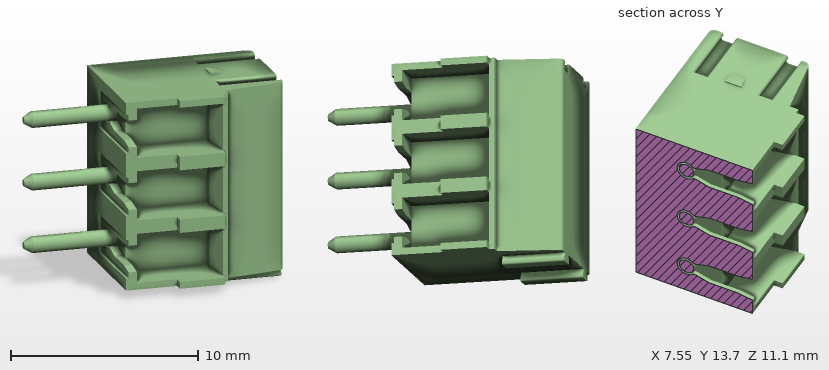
import cadquery as cq
import math


POLE_COUNT = 3
POLE_PITCH = 3.5
PIN_X = 3.05

BODY_WIDTH = 7.03
BODY_DEPTH = 9.15
BODY_HEIGHT = POLE_COUNT * POLE_PITCH
RAIL_LENGTH = 3.45
SHOULDER_Y = BODY_DEPTH - RAIL_LENGTH
SHOULDER_X = 6.5
REAR_X = 5.92
REAR_CORNER_RADIUS = 0.3

WALL_THICKNESS = 0.75
TAB_LENGTH = 0.52
TAB_FRONT_Y = 2.85
TAB_REAR_Y = 5.4

PIN_DIAMETER = 0.9
PIN_TIP_DIAMETER = 0.37
PIN_LENGTH = 4.5
PIN_TIP_LENGTH = 0.45

POCKET_X = 2.03
POCKET_HALF_HEIGHT = 1.08
POCKET_DEPTH = 0.15

KEYHOLE_DEPTH = 0.45
KEYHOLE_FLOOR_Y = POCKET_DEPTH + KEYHOLE_DEPTH
KEYHOLE_DIAMETER = 1.1
NECK_HALF_HEIGHT = 0.37
SLOT_HALF_HEIGHT = 0.6
MOUTH_HALF_HEIGHT = 0.75
NECK_END_X = 3.6
SLOT_START_X = 4.4
FLARE_START_X = 6.15

CAVITY_X = 5.03
CAVITY_FLAT_END_X = 5.66
CAVITY_FLAT_Y = 5.1
CAVITY_FILLET = 0.25
CAVITY_HEIGHT = POLE_PITCH - WALL_THICKNESS

RAIL_CENTRES_X = (1.11, 5.0)
RAIL_HEIGHT = 0.5
RAIL_ROOT_HALF_WIDTH = 0.33
RAIL_HALF_WIDTH = 0.475
RAIL_SLOPE_HEIGHT = 0.3
RAIL_EDGE_RADIUS = 0.1
GROOVE_DEPTH = 0.55
GROOVE_LIP_HALF_WIDTH = 0.535
GROOVE_LIP_RADIUS = 0.15
GROOVE_MOUTH_HALF_WIDTH = GROOVE_LIP_HALF_WIDTH - GROOVE_LIP_RADIUS
GROOVE_FLANK_ANGLE = math.radians(30)
GROOVE_FLANK_HALF_WIDTH = 0.5

DETENT_HEIGHT = 0.08
DETENT_FRONT_Y = 5.78
DETENT_RAMP_Y = 6.1
DETENT_REAR_Y = 6.58
DETENT_FRONT_WIDTH = 1.0
DETENT_REAR_WIDTH = 0.72


def box(x0, x1, y0, y1, z0, z1):
    return cq.Workplane("XY").box(x1 - x0, y1 - y0, z1 - z0, centered=False).translate((x0, y0, z0))


def extrude_y(sketch_points, y0, y1):
    """Extrude a closed X-Z polygon from y0 to y1."""
    return cq.Workplane("XZ", origin=(0, y0, 0)).polyline(sketch_points).close().extrude(y0 - y1)


def make_body():
    outline = [
        (0, 0),
        (BODY_WIDTH, 0),
        (BODY_WIDTH, SHOULDER_Y),
        (SHOULDER_X, SHOULDER_Y),
        (REAR_X, BODY_DEPTH),
        (0, BODY_DEPTH),
    ]
    body = cq.Workplane("XY").polyline(outline).close().extrude(BODY_HEIGHT)
    return body.edges("|Z and >Y").fillet(REAR_CORNER_RADIUS)


def make_tabs():
    tabs = cq.Workplane("XY")
    for wall in range(POLE_COUNT + 1):
        z = wall * POLE_PITCH
        z_low = max(z - WALL_THICKNESS / 2, 0)
        z_high = min(z + WALL_THICKNESS / 2, BODY_HEIGHT)
        tabs = tabs.add(box(SHOULDER_X, BODY_WIDTH + TAB_LENGTH, TAB_FRONT_Y, TAB_REAR_Y, z_low, z_high))
    return tabs.combine()


def make_pin(z):
    radius = PIN_DIAMETER / 2
    half_profile = [
        (0, KEYHOLE_FLOOR_Y),
        (radius, KEYHOLE_FLOOR_Y),
        (radius, PIN_TIP_LENGTH - PIN_LENGTH),
        (PIN_TIP_DIAMETER / 2, -PIN_LENGTH),
        (0, -PIN_LENGTH),
    ]
    pin = cq.Workplane("XY").polyline(half_profile).close().revolve(360, (0, 0), (0, 1))
    return pin.translate((PIN_X, 0, z))


def make_keyhole(z):
    upper_edge = [
        (PIN_X, NECK_HALF_HEIGHT),
        (NECK_END_X, NECK_HALF_HEIGHT),
        (SLOT_START_X, SLOT_HALF_HEIGHT),
        (FLARE_START_X, SLOT_HALF_HEIGHT),
        (BODY_WIDTH, MOUTH_HALF_HEIGHT),
    ]
    lower_edge = [(x, -half_height) for x, half_height in reversed(upper_edge)]
    slot = extrude_y(upper_edge + lower_edge, POCKET_DEPTH, KEYHOLE_FLOOR_Y)
    hole = (
        cq.Workplane("XZ", origin=(PIN_X, POCKET_DEPTH, 0))
        .circle(KEYHOLE_DIAMETER / 2)
        .extrude(-KEYHOLE_DEPTH)
    )
    return slot.union(hole).translate((0, 0, z))


def make_cavity(z):
    outline = [
        (CAVITY_X, KEYHOLE_FLOOR_Y),
        (BODY_WIDTH, KEYHOLE_FLOOR_Y),
        (BODY_WIDTH, TAB_REAR_Y),
        (CAVITY_FLAT_END_X, CAVITY_FLAT_Y),
        (CAVITY_X, CAVITY_FLAT_Y),
    ]
    cavity = cq.Workplane("XY").polyline(outline).close().extrude(CAVITY_HEIGHT)
    inner_corner = cq.selectors.NearestToPointSelector((CAVITY_X, CAVITY_FLAT_Y, CAVITY_HEIGHT / 2))
    cavity = cavity.edges("|Z").edges(inner_corner).fillet(CAVITY_FILLET)
    return cavity.translate((0, 0, z - CAVITY_HEIGHT / 2))


def make_pole_cut(z):
    pocket = box(
        POCKET_X, BODY_WIDTH, 0, POCKET_DEPTH, z - POCKET_HALF_HEIGHT, z + POCKET_HALF_HEIGHT
    )
    return pocket.union(make_keyhole(z)).union(make_cavity(z))


def make_rail(x):
    right_edge = [
        (RAIL_ROOT_HALF_WIDTH, 0),
        (RAIL_HALF_WIDTH, -RAIL_SLOPE_HEIGHT),
        (RAIL_HALF_WIDTH, -RAIL_HEIGHT),
    ]
    left_edge = [(-half_width, z) for half_width, z in reversed(right_edge)]
    rail = extrude_y(right_edge + left_edge, SHOULDER_Y, BODY_DEPTH)
    return rail.edges("|Y and <Z").fillet(RAIL_EDGE_RADIUS).translate((x, 0, 0))


def make_groove(x):
    """Undercut groove with rounded lips and rounded lower corners."""
    diagonal = math.sqrt(0.5)
    lip_mid = (
        GROOVE_LIP_HALF_WIDTH - GROOVE_LIP_RADIUS * diagonal,
        -GROOVE_LIP_RADIUS * (1 - diagonal),
    )
    lip_end = (
        GROOVE_LIP_HALF_WIDTH - GROOVE_LIP_RADIUS * math.cos(GROOVE_FLANK_ANGLE),
        -GROOVE_LIP_RADIUS * (1 + math.sin(GROOVE_FLANK_ANGLE)),
    )
    flank_height = (GROOVE_FLANK_HALF_WIDTH - lip_end[0]) / math.tan(GROOVE_FLANK_ANGLE)
    flank_end = (GROOVE_FLANK_HALF_WIDTH, lip_end[1] - flank_height)
    foot_width = GROOVE_FLANK_HALF_WIDTH - GROOVE_MOUTH_HALF_WIDTH
    foot_mid = (
        GROOVE_MOUTH_HALF_WIDTH + foot_width * diagonal,
        flank_end[1] - (GROOVE_DEPTH + flank_end[1]) * diagonal,
    )
    groove = (
        cq.Workplane("XZ", origin=(x, SHOULDER_Y, BODY_HEIGHT))
        .moveTo(GROOVE_LIP_HALF_WIDTH, 0)
        .threePointArc(lip_mid, lip_end)
        .lineTo(*flank_end)
        .threePointArc(foot_mid, (GROOVE_MOUTH_HALF_WIDTH, -GROOVE_DEPTH))
        .lineTo(0, -GROOVE_DEPTH)
        .lineTo(0, 0)
        .close()
        .extrude(-RAIL_LENGTH)
    )
    mirrored = groove.mirror("YZ", (x, 0, 0))
    return groove.union(mirrored)


def make_detent():
    side_profile = [
        (DETENT_FRONT_Y, 0),
        (DETENT_FRONT_Y, DETENT_HEIGHT),
        (DETENT_RAMP_Y, DETENT_HEIGHT),
        (DETENT_REAR_Y, 0),
    ]
    plan = [
        (-DETENT_FRONT_WIDTH / 2, DETENT_FRONT_Y),
        (DETENT_FRONT_WIDTH / 2, DETENT_FRONT_Y),
        (DETENT_REAR_WIDTH / 2, DETENT_REAR_Y),
        (-DETENT_REAR_WIDTH / 2, DETENT_REAR_Y),
    ]
    wedge = cq.Workplane("YZ").polyline(side_profile).close().extrude(DETENT_FRONT_WIDTH / 2, both=True)
    footprint = cq.Workplane("XY").polyline(plan).close().extrude(DETENT_HEIGHT)
    return wedge.intersect(footprint).translate((PIN_X, 0, BODY_HEIGHT))


part = make_body().union(make_tabs()).union(make_detent())
for rail_x in RAIL_CENTRES_X:
    part = part.union(make_rail(rail_x)).cut(make_groove(rail_x))

for pole in range(POLE_COUNT):
    pole_z = (pole + 0.5) * POLE_PITCH
    part = part.cut(make_pole_cut(pole_z)).union(make_pin(pole_z))

result = part